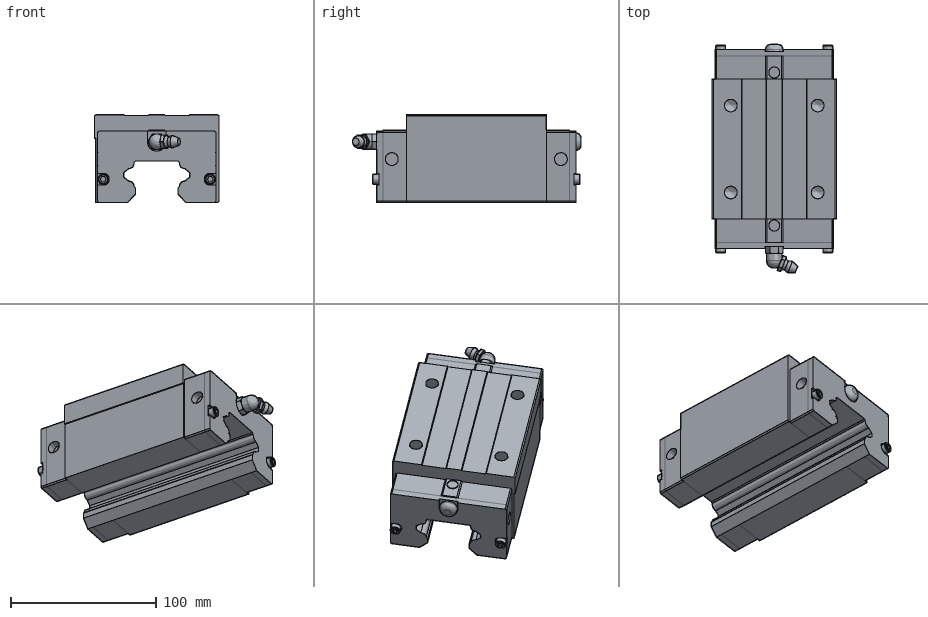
import cadquery as cq
import math

body_width = 86.0
body_height = 60.5
body_length = 96.4
body_chamfer = 1.0
relief_depth = 0.8
relief_top = 44.3
band_inner = 5.2
band_outer = 22.7
band_depth = 0.5

mount_pitch = 60.0
mount_hole_diameter = 8.7
mount_hole_depth = 13.0
drill_point_angle = 118.0

cap_half_width = 40.7
cap_height = 49.2
cap_chamfer = 1.0
cap_thickness = 16.1
seal_thickness = 4.4
pad_half_width = 6.0
pad_height = 1.0
pad_hole_diameter = 7.5
pad_hole_depth = 0.5
pad_hole_inset = 4.5
side_hole_diameter = 8.8
side_hole_depth = 6.3
side_hole_inset = 10.1
side_hole_z = 30.0

channel_top = 28.5
groove_z = 19.1
groove_width = 45.3
groove_flat = 1.5
lobe_radius = 3.8
lobe_gap = 31.0
lobe_offset = 8.0
channel_corner = 0.8
lip_gap = 29.0
lip_top = 10.0
lip_bottom = 5.8
mouth_width = 40.2

screw_x = 36.9
screw_z = 16.1
screw_head_radius = 3.5
screw_head_end = 71.6
screw_chamfer = 0.5
screw_slot_radius = 4.1
screw_socket_flats = 3.5
screw_socket_depth = 1.5
pocket_depth = 1.4

port_z = 42.0
port_radius = 6.5
plug_radius = 6.2
plug_end = 72.2
plug_round = 3.8

nut_flats = 10.7
nut_end = 72.0
nut_chamfer = 0.6
elbow_y = -76.8
nipple_angle = 22.5
collar_corner_radius = 5.5
collar_start = 4.4
collar_end = 7.0
neck_start_radius = 4.3
neck_radius = 3.3
neck_at = 9.1
bulge_radius = 4.3
bulge_at = 11.8
bulge_sagitta = 0.24
tip_radius = 2.5
tip_at = 16.5

body_half_width = body_width / 2
body_end = body_length / 2
cap_end = body_end + cap_thickness
seal_end = cap_end + seal_thickness
pocket_floor = seal_end - pocket_depth
pad_hole_y = body_end + pad_hole_inset
side_hole_y = body_end + side_hole_inset
sides = (-1, 1)


def along_y(y):
    """Workplane facing -Y at the given Y: extrusions run toward -Y, local x = X, local y = Z."""
    return cq.Workplane("XZ", origin=(0, y, 0))


def prism(outline, start, end):
    """Extrude a closed XZ outline from Y = start to the larger Y = end."""
    return along_y(end).polyline(outline).close().extrude(end - start)


def rail_channel():
    """Channel for the rail, mirrored about the middle plane, longer than the carriage."""
    flank = math.sqrt(0.5) * lobe_radius
    lobe_reach = lobe_gap / 2
    lobe_x = lobe_reach + lobe_radius
    lower_z = groove_z - lobe_offset
    upper_z = groove_z + lobe_offset
    half = (
        cq.Workplane("XZ", origin=(0, 2 * seal_end, 0))
        .moveTo(0, 0)
        .lineTo(mouth_width / 2, 0)
        .lineTo(lip_gap / 2, lip_bottom)
        .lineTo(lip_gap / 2, lip_top)
        .lineTo(lobe_reach, lower_z)
        .threePointArc((lobe_x - flank, lower_z + flank), (lobe_x, lower_z + lobe_radius))
        .lineTo(groove_width / 2, groove_z - groove_flat)
        .lineTo(groove_width / 2, groove_z + groove_flat)
        .lineTo(lobe_x, upper_z - lobe_radius)
        .threePointArc((lobe_x - flank, upper_z - flank), (lobe_reach, upper_z))
        .lineTo(lobe_reach, channel_top - channel_corner)
        .lineTo(lobe_reach - channel_corner, channel_top)
        .lineTo(0, channel_top)
        .close()
        .extrude(4 * seal_end)
    )
    return half.union(half.mirror("YZ"))


def mounting_holes():
    """Four blind holes with drill points in the top face."""
    radius = mount_hole_diameter / 2
    point = radius / math.tan(math.radians(drill_point_angle / 2))
    profile = [
        (0, body_height),
        (radius, body_height),
        (radius, body_height - mount_hole_depth),
        (0, body_height - mount_hole_depth - point),
    ]
    drill = cq.Workplane("XZ").polyline(profile).close().revolve(360, (0, 0), (0, 1))
    reach = mount_pitch / 2
    drills = cq.Workplane("XY")
    for x_side in sides:
        for y_side in sides:
            drills = drills.union(drill.translate((x_side * reach, y_side * reach, 0)))
    return drills


def steel_body():
    """Bearing block with a relieved -X side, two shallow top bands and the mounting holes."""
    w, h, c = body_half_width, body_height, body_chamfer
    outline = [
        (-w + relief_depth, 0),
        (w - c, 0),
        (w, c),
        (w, h - c),
        (w - c, h),
        (-w + c, h),
        (-w, h - c),
        (-w, relief_top),
        (-w + relief_depth, relief_top),
    ]
    body = prism(outline, -body_end, body_end)
    floor = h - band_depth
    for side in sides:
        band = [
            (side * band_inner, h),
            (side * (band_inner + band_depth), floor),
            (side * (band_outer - band_depth), floor),
            (side * band_outer, h),
        ]
        body = body.cut(prism(band, -body_end, body_end))
    return body.cut(mounting_holes())


def cap_block(start, end):
    """Chamfered block of the end caps and end seals, from Y = start to Y = end."""
    return (
        cq.Workplane("XY")
        .box(2 * cap_half_width, end - start, cap_height, centered=(True, False, False))
        .edges("|Y")
        .chamfer(cap_chamfer)
        .translate((0, start, 0))
    )


def end_cap():
    """End cap on the +Y end, with a raised pad on top, a shallow pad recess and blind side holes."""
    pad_top = cap_height + pad_height
    pad = [
        (-pad_half_width, cap_height),
        (pad_half_width, cap_height),
        (pad_half_width - pad_height, pad_top),
        (-pad_half_width + pad_height, pad_top),
    ]
    cap = cap_block(body_end, cap_end).union(prism(pad, body_end, cap_end))
    pad_hole = (
        cq.Workplane("XY", origin=(0, pad_hole_y, pad_top))
        .circle(pad_hole_diameter / 2)
        .extrude(-pad_hole_depth)
    )
    cap = cap.cut(pad_hole)
    for side in sides:
        side_hole = (
            cq.Workplane("YZ", origin=(side * cap_half_width, side_hole_y, side_hole_z))
            .circle(side_hole_diameter / 2)
            .extrude(-side * side_hole_depth)
        )
        cap = cap.cut(side_hole)
    return cap


def open_slot(x, z, radius, reach_x, reach_z):
    """Round-ended pocket in the +Y seal face, running out from its centre by the given reach."""
    run_width = abs(reach_x) or 2 * radius
    run_height = abs(reach_z) or 2 * radius
    pocket = along_y(seal_end).center(x, z).circle(radius).extrude(pocket_depth)
    run = (
        along_y(seal_end)
        .center(x + reach_x / 2, z + reach_z / 2)
        .rect(run_width, run_height)
        .extrude(pocket_depth)
    )
    return pocket.union(run)


def seal_screw(side):
    """Hexagon socket screw head standing on its pocket floor."""
    corner_diameter = screw_socket_flats / math.cos(math.pi / 6)
    head = (
        along_y(screw_head_end)
        .center(side * screw_x, screw_z)
        .circle(screw_head_radius)
        .extrude(screw_head_end - pocket_floor)
        .faces(">Y")
        .chamfer(screw_chamfer)
    )
    socket = (
        along_y(screw_head_end)
        .center(side * screw_x, screw_z)
        .polygon(6, corner_diameter)
        .extrude(screw_socket_depth)
    )
    return head.cut(socket)


def end_seal():
    """End seal on the +Y end, with its lubrication recess and two screws."""
    seal = cap_block(cap_end, seal_end)
    seal = seal.cut(open_slot(0, port_z, port_radius, 0, cap_height - port_z))
    for side in sides:
        reach = side * (cap_half_width - screw_x)
        seal = seal.cut(open_slot(side * screw_x, screw_z, screw_slot_radius, reach, 0))
        seal = seal.union(seal_screw(side))
    return seal


def port_plug():
    """Domed plug closing the lubrication port on the +Y end."""
    return (
        along_y(plug_end)
        .center(0, port_z)
        .circle(plug_radius)
        .extrude(plug_end - pocket_floor)
        .faces(">Y")
        .edges()
        .fillet(plug_round)
    )


def grease_nipple():
    """Elbow nipple on the -Y end: hexagon base, round elbow and a tilted nipple."""
    elbow_radius = nut_flats / 2
    nut_corner_radius = elbow_radius / math.cos(math.pi / 6)
    nut_height = nut_end - pocket_floor
    base = along_y(-pocket_floor).center(0, port_z)
    nut = base.polygon(6, 2 * nut_corner_radius).extrude(nut_height)
    chamfered_round = base.circle(nut_corner_radius).extrude(nut_height).faces("<Y").chamfer(nut_chamfer)
    nut = nut.intersect(chamfered_round)
    elbow = along_y(-nut_end).center(0, port_z).circle(elbow_radius).extrude(-elbow_y - nut_end)
    ball = cq.Workplane("XY").sphere(elbow_radius).translate((0, elbow_y, port_z))

    collar = (
        cq.Workplane("YZ", origin=(collar_start, 0, 0))
        .polygon(6, 2 * collar_corner_radius)
        .extrude(collar_end - collar_start)
    )
    stem = (
        cq.Workplane("XY")
        .lineTo(0, neck_radius)
        .lineTo(collar_start, neck_radius)
        .lineTo(collar_end, neck_start_radius)
        .lineTo(neck_at, neck_radius)
        .sagittaArc((bulge_at, bulge_radius), bulge_sagitta)
        .lineTo(tip_at, tip_radius)
        .lineTo(tip_at, 0)
        .close()
        .revolve(360, (0, 0), (1, 0))
    )
    tilted = (
        stem.union(collar)
        .rotate((0, 0, 0), (0, 0, 1), -nipple_angle)
        .translate((0, elbow_y, port_z))
    )
    return nut.union(elbow).union(ball).union(tilted)


carriage = steel_body()
for end_part in (end_cap(), end_seal()):
    carriage = carriage.union(end_part, clean=False)
    carriage = carriage.union(end_part.mirror("XZ"), clean=False)
carriage = carriage.cut(rail_channel(), clean=False)
result = carriage.union(port_plug(), clean=False).union(grease_nipple(), clean=False)